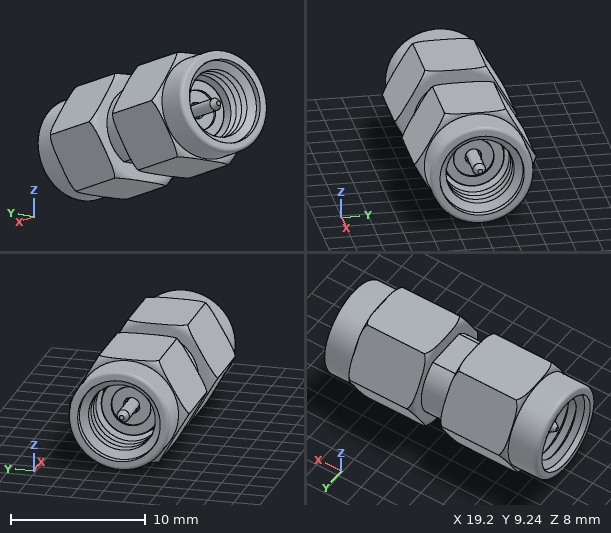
import cadquery as cq
import math


total_length = 19.2
half_length = total_length / 2
neck_length = 2.4
nut_length = 5.85
hex_outer_x = neck_length / 2 + nut_length

hex_across_flats = 8.0
hex_across_corners = hex_across_flats / math.cos(math.radians(30))
hex_end_radius = 3.95
hex_end_rounding = 0.8
collar_radius = 3.9
collar_fillet = 0.3
neck_radius = 3.25
neck_across_flats = 5.5

inch = 25.4
mouth_length = 0.5
thread_pitch = inch / 36
thread_count = 4
thread_major_radius = inch / 4 / 2
thread_depth = thread_pitch * math.cos(math.radians(30))
thread_minor_radius = thread_major_radius - thread_depth
socket_depth = 5.0

plug_face_depth = 3.45
plug_radius = 2.3
plug_chamfer = 0.05
insulator_radius = 1.52
insulator_recess = 0.2
pin_clearance_radius = 0.62
pin_clearance_depth = 0.5

pin_radius = 0.47
pin_tip_radius = 0.18
pin_tip_depth = 0.8
pin_tip_length = 0.45


def disc(radius, start_x, length):
    """Cylinder around the X axis, starting at start_x and running toward +X."""
    return cq.Workplane("YZ", origin=(start_x, 0, 0)).circle(radius).extrude(length)


def revolve_about_x(profile):
    """Revolve a closed XY profile around the X axis."""
    return profile.close().revolve(360, (0, 0, 0), (1, 0, 0))


def make_neck():
    """Round bar joining both nuts, with a flat on top and bottom."""
    bar = disc(neck_radius, -neck_length / 2, neck_length)
    flats = cq.Workplane("XY").box(neck_length, 2 * neck_radius, neck_across_flats)
    return bar.intersect(flats)


def make_nut():
    """Hexagon with rounded-off corner ends, corners on the Y axis, at the -X end."""
    hexagon = (
        cq.Workplane("YZ", origin=(-hex_outer_x, 0, 0))
        .polygon(6, hex_across_corners)
        .extrude(nut_length)
    )
    envelope = disc(hex_end_radius + hex_end_rounding, -hex_outer_x, nut_length)
    envelope = envelope.faces("<X or >X").edges().fillet(hex_end_rounding)
    return hexagon.intersect(envelope)


def make_collar():
    """Round collar outside the nut, with its outer rim rounded."""
    collar = disc(collar_radius, -half_length, half_length - hex_outer_x)
    return collar.faces("<X").edges().fillet(collar_fillet)


def make_socket():
    """Cavity of the -X socket: plain mouth, ringed thread, then a plain bore."""
    profile = (
        cq.Workplane("XY")
        .moveTo(-half_length, 0)
        .lineTo(-half_length, thread_major_radius)
    )
    thread_start = -half_length + mouth_length
    for index in range(thread_count):
        ring_x = thread_start + index * thread_pitch
        profile = profile.lineTo(ring_x, thread_major_radius)
        profile = profile.lineTo(ring_x + thread_pitch / 2, thread_minor_radius)
    socket_floor = -half_length + socket_depth
    profile = profile.lineTo(socket_floor, thread_minor_radius).lineTo(socket_floor, 0)
    return revolve_about_x(profile)


def make_plug():
    """Plug standing on the socket floor, with a recessed insulator around the pin."""
    face_x = -half_length + plug_face_depth
    plug = disc(plug_radius, face_x, socket_depth - plug_face_depth)
    plug = plug.faces("<X").edges().chamfer(plug_chamfer)
    plug = plug.cut(disc(insulator_radius, face_x, insulator_recess))
    return plug.cut(disc(pin_clearance_radius, face_x + insulator_recess, pin_clearance_depth))


def make_pin():
    """Centre pin with a tapered, flat-ended tip, rooted in the socket floor."""
    tip_x = -half_length + pin_tip_depth
    root_x = -half_length + socket_depth
    return revolve_about_x(
        cq.Workplane("XY")
        .moveTo(tip_x, 0)
        .lineTo(tip_x, pin_tip_radius)
        .lineTo(tip_x + pin_tip_length, pin_radius)
        .lineTo(root_x, pin_radius)
        .lineTo(root_x, 0)
    )


def make_connector():
    """Complete connector on the -X side."""
    shell = make_nut().union(make_collar()).cut(make_socket())
    return shell.union(make_plug()).union(make_pin())


connector = make_connector()
result = make_neck().union(connector).union(connector.mirror("YZ"))